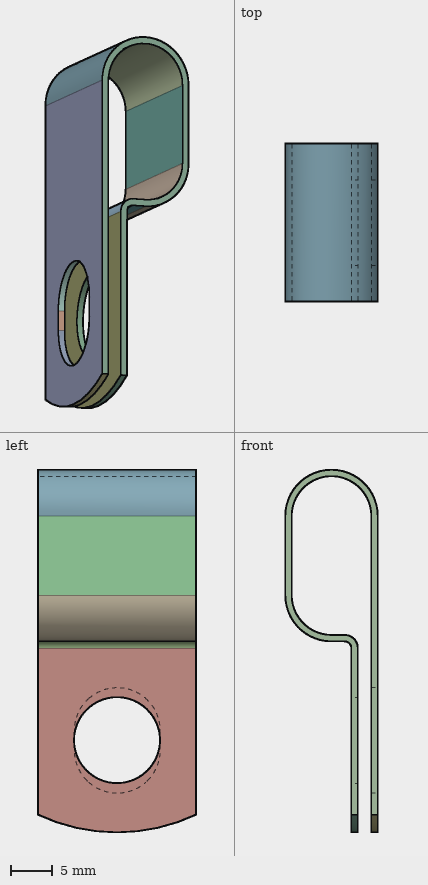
import cadquery as cq
import math

loop_width = 11.15
strap_width = 19.05
height = 43.65
thickness = 0.8

loop_radius = loop_width / 2
loop_straight = 9.525
leg_gap = 1.6
bend_outer_radius = 1.6
bend_inner_radius = bend_outer_radius - thickness

hole_diameter = 10.32
slot_length = 12.7
hole_height = 11.11
tip_radius = 22.225

inner_radius = loop_radius - thickness
leg_bottom = loop_radius - height
hole_z = leg_bottom + hole_height
lower_arc_z = -loop_straight
shelf_bottom = lower_arc_z - loop_radius
shelf_top = shelf_bottom + thickness
short_leg_right = inner_radius - leg_gap
short_leg_left = short_leg_right - thickness
bend_x = short_leg_right - bend_outer_radius
bend_z = shelf_top - bend_outer_radius
diagonal = math.sqrt(0.5)


def strap_body():
    """Bent strap: long leg, loop, shelf and short leg, swept across the full width."""
    outline = (
        cq.Workplane("XZ")
        .moveTo(loop_radius, leg_bottom)
        .lineTo(loop_radius, 0)
        .threePointArc((0, loop_radius), (-loop_radius, 0))
        .lineTo(-loop_radius, lower_arc_z)
        .threePointArc(
            (-loop_radius * diagonal, lower_arc_z - loop_radius * diagonal),
            (0, shelf_bottom),
        )
        .lineTo(bend_x, shelf_bottom)
        .threePointArc(
            (bend_x + bend_inner_radius * diagonal, bend_z + bend_inner_radius * diagonal),
            (short_leg_left, bend_z),
        )
        .lineTo(short_leg_left, leg_bottom)
        .lineTo(short_leg_right, leg_bottom)
        .lineTo(short_leg_right, bend_z)
        .threePointArc(
            (bend_x + bend_outer_radius * diagonal, bend_z + bend_outer_radius * diagonal),
            (bend_x, shelf_top),
        )
        .lineTo(0, shelf_top)
        .threePointArc(
            (-inner_radius * diagonal, lower_arc_z - inner_radius * diagonal),
            (-inner_radius, lower_arc_z),
        )
        .lineTo(-inner_radius, 0)
        .threePointArc((0, inner_radius), (inner_radius, 0))
        .lineTo(inner_radius, leg_bottom)
        .close()
    )
    return outline.extrude(strap_width / 2, both=True)


def face_envelope():
    """Block with a rounded lower end that trims the tips of both legs."""
    half_width = strap_width / 2
    tip_rise = tip_radius - math.sqrt(tip_radius**2 - half_width**2)
    corner_z = leg_bottom + tip_rise
    return (
        cq.Workplane("YZ")
        .moveTo(-half_width, loop_radius)
        .lineTo(-half_width, corner_z)
        .threePointArc((0, leg_bottom), (half_width, corner_z))
        .lineTo(half_width, loop_radius)
        .close()
        .extrude(loop_width, both=True)
    )


def mounting_hole():
    """Cylinder along X that pierces the short leg only."""
    return (
        cq.Workplane("YZ", origin=(short_leg_left, 0, hole_z))
        .circle(hole_diameter / 2)
        .extrude(thickness)
    )


def mounting_slot():
    """Upright round-ended slot along X that pierces the long leg only."""
    return (
        cq.Workplane("YZ", origin=(inner_radius, 0, hole_z))
        .slot2D(slot_length, hole_diameter, angle=90)
        .extrude(thickness)
    )


result = strap_body().intersect(face_envelope()).cut(mounting_hole()).cut(mounting_slot())